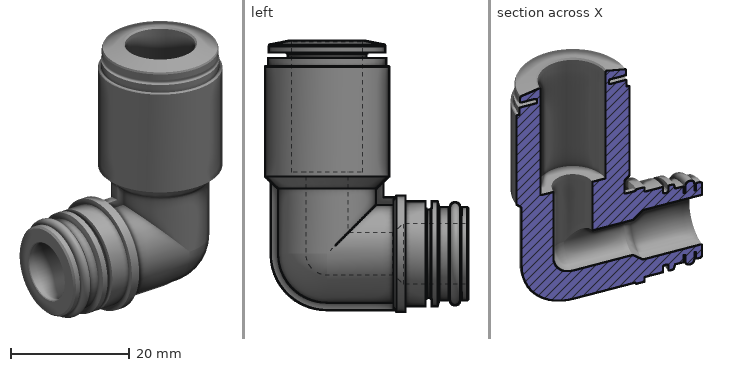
import cadquery as cq
import math


pipe_radius = 8.35
passage_radius = 7.2 / 2
rib_reach = 9.6
rib_thickness = 1.47

body_radius = 21.1 / 2
body_bottom = 13.15
body_top = 31.8
body_edge = 0.15
shoulder_radius = 8.4
shoulder_bottom = 11.05
shoulder_blend = 0.25
collar_radius = 20.1 / 2
collar_top = 33.22
neck_radius = 13.4 / 2
neck_flare = 0.25
release_radius = 19.8 / 2
release_bottom = 34.1
release_rim = 35.15
release_bevel_radius = 9.75
release_bevel_top = 35.5
socket_top = 36.15
socket_bore_radius = 12.0 / 2
mouth_chamfer = 0.28
top_land_radius = socket_bore_radius + mouth_chamfer
socket_bore_bottom = 13.82

flange_radius = 19.8 / 2
flange_back_radius = 9.12
flange_back = 11.25
flange_bevel_end = 11.8
flange_front = 13.3
spigot_radius = 17.9 / 2
clip_groove_radius = 15.05 / 2
clip_groove_start = 16.75
clip_groove_end = 17.75
clip_groove_bevel = 0.25
rim_end = 18.7
nose_radius = 15.9 / 2
nose_start = 19.05
seal_groove_radius = 13.0 / 2
seal_groove_start = 20.6
seal_groove_end = 22.8
seal_radius = 17.5 / 2
seal_half_width = 0.88
seal_center = (seal_groove_start + seal_groove_end) / 2
plug_end = 24.0
plug_end_chamfer = 0.3
plug_bore_radius = 10.2 / 2
plug_mouth_chamfer = 0.15
plug_bore_depth = 11.05
plug_cone_length = 1.85


def turned(points):
    """Revolve a (radius, height) outline about the Z axis."""
    return cq.Workplane("XZ").polyline(points).close().revolve(360, (0, 0), (0, 1))


def along_plug(shape):
    """Swing a shape from the +Z axis onto the -Y axis."""
    return shape.rotate((0, 0, 0), (1, 0, 0), 90)


def rounded_elbow(radius, rise, run):
    """Two equal cylinders joined by a ball at the corner."""
    riser = cq.Workplane("XY").circle(radius).extrude(rise)
    branch = along_plug(cq.Workplane("XY").circle(radius).extrude(run))
    return riser.union(branch).union(cq.Workplane("XY").sphere(radius))


def rib():
    """Flat web in the plane of both axes, following the outside of the bend."""
    corner = rib_reach * math.sqrt(0.5)
    cone_slope = (body_radius - shoulder_radius) / (body_bottom - shoulder_bottom)
    rib_top = shoulder_bottom + (rib_reach - shoulder_radius) / cone_slope
    return (
        cq.Workplane("YZ")
        .moveTo(rib_reach, rib_top)
        .lineTo(rib_reach, 0)
        .threePointArc((corner, -corner), (0, -rib_reach))
        .lineTo(-flange_bevel_end, -rib_reach)
        .lineTo(-flange_bevel_end, rib_reach)
        .lineTo(-rib_reach, rib_reach)
        .lineTo(-rib_reach, rib_top)
        .close()
        .extrude(rib_thickness / 2, both=True)
    )


def socket():
    return turned([
        (0, shoulder_bottom - shoulder_blend),
        (pipe_radius, shoulder_bottom - shoulder_blend),
        (shoulder_radius, shoulder_bottom),
        (body_radius, body_bottom),
        (body_radius, body_top - body_edge),
        (body_radius - body_edge, body_top),
        (collar_radius, body_top),
        (collar_radius, collar_top),
        (neck_radius, collar_top),
        (neck_radius, release_bottom - neck_flare),
        (neck_radius + neck_flare, release_bottom),
        (release_radius, release_bottom),
        (release_radius, release_rim),
        (release_bevel_radius, release_bevel_top),
        (top_land_radius, socket_top),
        (0, socket_top),
    ])


def plug():
    return along_plug(turned([
        (0, flange_back),
        (flange_back_radius, flange_back),
        (flange_radius, flange_bevel_end),
        (flange_radius, flange_front),
        (spigot_radius, flange_front),
        (spigot_radius, clip_groove_start),
        (clip_groove_radius + clip_groove_bevel, clip_groove_start),
        (clip_groove_radius, clip_groove_start + clip_groove_bevel),
        (clip_groove_radius, clip_groove_end - clip_groove_bevel),
        (clip_groove_radius + clip_groove_bevel, clip_groove_end),
        (spigot_radius, clip_groove_end),
        (spigot_radius, rim_end),
        (nose_radius, nose_start),
        (nose_radius, seal_groove_start),
        (seal_groove_radius, seal_groove_start),
        (seal_groove_radius, seal_groove_end),
        (nose_radius, seal_groove_end),
        (nose_radius, plug_end - plug_end_chamfer),
        (nose_radius - plug_end_chamfer, plug_end),
        (0, plug_end),
    ]))


def seal():
    """Round-topped sealing ring seated on the floor of its groove."""
    round_start = seal_radius - seal_half_width
    section = (
        cq.Workplane("XZ")
        .moveTo(0, seal_center - seal_half_width)
        .lineTo(round_start, seal_center - seal_half_width)
        .threePointArc((seal_radius, seal_center), (round_start, seal_center + seal_half_width))
        .lineTo(0, seal_center + seal_half_width)
        .close()
    )
    return along_plug(section.revolve(360, (0, 0), (0, 1)))


def socket_bore():
    return turned([
        (0, socket_bore_bottom),
        (socket_bore_radius, socket_bore_bottom),
        (socket_bore_radius, socket_top - mouth_chamfer),
        (top_land_radius, socket_top),
        (0, socket_top),
    ])


def plug_bore():
    bore_bottom = plug_end - plug_bore_depth
    return along_plug(turned([
        (0, bore_bottom - plug_cone_length),
        (passage_radius, bore_bottom - plug_cone_length),
        (plug_bore_radius, bore_bottom),
        (plug_bore_radius, plug_end - plug_mouth_chamfer),
        (plug_bore_radius + plug_mouth_chamfer, plug_end),
        (0, plug_end),
    ]))


outside = (
    rounded_elbow(pipe_radius, shoulder_bottom, flange_bevel_end)
    .union(rib())
    .union(socket())
    .union(plug())
    .union(seal())
)
passage = rounded_elbow(passage_radius, socket_top, plug_end)

result = outside.cut(passage).cut(socket_bore()).cut(plug_bore())